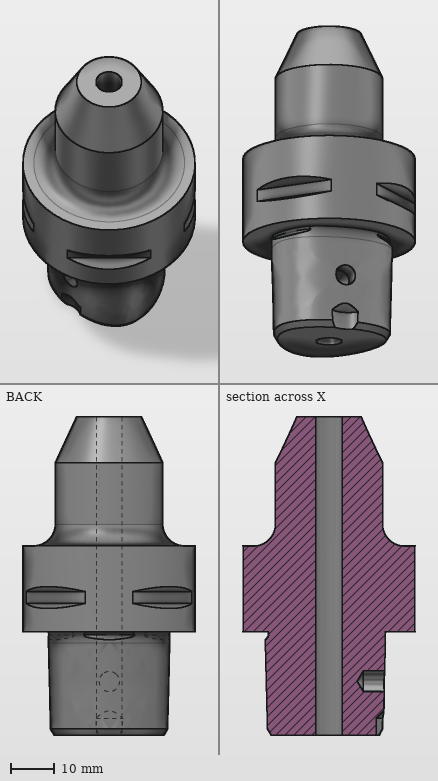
import cadquery as cq
import math

flange_radius = 20.0
flange_height = 20.0
nose_radius = 12.5
nose_tip_radius = 7.5
nose_top = 50.0
nose_cone_half_angle = 25.0
root_fillet = 5.0
bore_diameter = 6.0

shank_length = 24.0
shank_mean_radius = 14.0
straight_height = 2.5
lobe_height = 0.85
shank_taper = 1 / 20
chamfer_height = 1.5
chamfer_inset = 0.9
outline_points = 36

relief_radius = 14.1
relief_middle_depth = 0.67
relief_arc_radius = 0.9
relief_top_flare = 0.1
relief_outer_radius = 16.0

groove_count = 4
groove_first_angle = 45.0
groove_floor_distance = 17.5
groove_floor_height = 2.75
groove_wall_angle = 25.0
groove_center_z = 8.0

side_hole_diameter = 4.7
side_hole_z = -11.45
side_hole_shoulder_y = -8.0
side_hole_tip_half_angle = 59.0
notch_diameter = 8.0
notch_axis_y = -15.0
notch_shoulder_z = -20.0
notch_tip_half_angle = 45.0


def body_of_revolution():
    cone_base_z = nose_top - (nose_radius - nose_tip_radius) / math.tan(math.radians(nose_cone_half_angle))
    fillet_outer_radius = nose_radius + root_fillet
    fillet_top_z = flange_height + root_fillet
    fillet_middle = root_fillet * math.sqrt(0.5)
    return (
        cq.Workplane("XZ")
        .lineTo(flange_radius, 0)
        .lineTo(flange_radius, flange_height)
        .lineTo(fillet_outer_radius, flange_height)
        .threePointArc(
            (fillet_outer_radius - fillet_middle, fillet_top_z - fillet_middle),
            (nose_radius, fillet_top_z),
        )
        .lineTo(nose_radius, cone_base_z)
        .lineTo(nose_tip_radius, nose_top)
        .lineTo(0, nose_top)
        .close()
        .revolve(360, (0, 0, 0), (0, 1, 0))
    )


def lobed_outline(mean_radius, z):
    """Closed smooth curve with three lobes at height z."""
    points = []
    for index in range(outline_points):
        angle = 2 * math.pi * index / outline_points
        x = lobe_height * math.sin(2 * angle) - mean_radius * math.sin(angle)
        y = lobe_height * math.cos(2 * angle) + mean_radius * math.cos(angle)
        points.append(cq.Vector(x, y, z))
    return cq.Wire.assembleEdges([cq.Edge.makeSpline(points, periodic=True)])


def shank():
    """Straight collar, tapered body and end chamfer, stacked downward."""
    chamfer_z = chamfer_height - shank_length
    chamfer_radius = shank_mean_radius + (chamfer_z + straight_height) * shank_taper / 2
    outlines = [
        lobed_outline(shank_mean_radius, 0),
        lobed_outline(shank_mean_radius, -straight_height),
        lobed_outline(chamfer_radius, chamfer_z),
        lobed_outline(chamfer_radius - chamfer_inset, -shank_length),
    ]
    body = cq.Workplane("XY")
    for upper, lower in zip(outlines, outlines[1:]):
        body = body.add(cq.Solid.makeLoft([upper, lower], True))
    return body.combine(clean=False)


def relief_cutter():
    """Hollow-ground ring around the shank, opening outward at 45 degrees at its lower side."""
    arc_end_depth = relief_arc_radius * math.sqrt(0.5)
    slope_start_radius = relief_radius + relief_arc_radius - arc_end_depth
    slope_start_z = -relief_middle_depth - arc_end_depth
    slope_end_z = slope_start_z - (relief_outer_radius - slope_start_radius)
    return (
        cq.Workplane("XZ")
        .moveTo(relief_outer_radius, slope_end_z)
        .lineTo(slope_start_radius, slope_start_z)
        .tangentArcPoint((relief_radius, -relief_middle_depth), relative=False)
        .tangentArcPoint((relief_radius + relief_top_flare, 0), relative=False)
        .lineTo(relief_outer_radius, 0)
        .close()
        .revolve(360, (0, 0, 0), (0, 1, 0))
    )


def groove_cutter(angle):
    """Straight flat-bottomed groove across the flange, facing the given angle."""
    depth = flange_radius - groove_floor_distance
    half_floor = groove_floor_height / 2
    half_mouth = half_floor + depth * math.tan(math.radians(groove_wall_angle))
    return (
        cq.Workplane("XZ")
        .moveTo(groove_floor_distance, groove_center_z - half_floor)
        .lineTo(flange_radius, groove_center_z - half_mouth)
        .lineTo(flange_radius, groove_center_z + half_mouth)
        .lineTo(groove_floor_distance, groove_center_z + half_floor)
        .close()
        .extrude(flange_radius, both=True)
        .rotate((0, 0, 0), (0, 0, 1), angle)
    )


def drill_cutter(diameter, tip_half_angle, shoulder, direction, length):
    """Drill shape: a cylinder behind its shoulder and a conical tip ahead of it."""
    radius = diameter / 2
    tip_length = radius / math.tan(math.radians(tip_half_angle))
    start = shoulder - direction * length
    cylinder = cq.Solid.makeCylinder(radius, length, start, direction)
    tip = cq.Solid.makeCone(radius, 0, tip_length, shoulder, direction)
    return cq.Workplane(cylinder).union(cq.Workplane(tip))


def side_hole_cutter():
    shoulder = cq.Vector(0, side_hole_shoulder_y, side_hole_z)
    length = side_hole_shoulder_y + flange_radius
    return drill_cutter(side_hole_diameter, side_hole_tip_half_angle, shoulder, cq.Vector(0, 1, 0), length)


def notch_cutter():
    shoulder = cq.Vector(0, notch_axis_y, notch_shoulder_z)
    length = notch_shoulder_z + shank_length
    return drill_cutter(notch_diameter, notch_tip_half_angle, shoulder, cq.Vector(0, 0, 1), length)


def bore_cutter():
    return (
        cq.Workplane("XY", origin=(0, 0, -shank_length))
        .circle(bore_diameter / 2)
        .extrude(shank_length + nose_top)
    )


result = body_of_revolution().union(shank().cut(relief_cutter()))
for groove_index in range(groove_count):
    groove_angle = groove_first_angle + groove_index * 360 / groove_count
    result = result.cut(groove_cutter(groove_angle))
result = result.cut(side_hole_cutter()).cut(notch_cutter()).cut(bore_cutter())